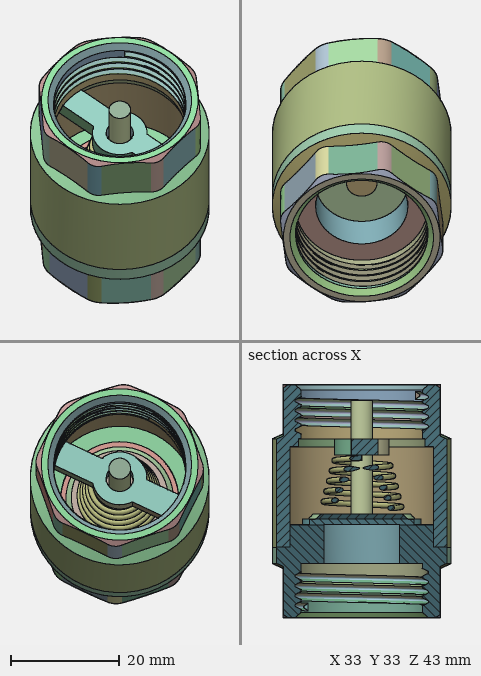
import cadquery as cq
import math


TOTAL_HEIGHT = 43.0
BARREL_DIAMETER = 33.0
PORT_LENGTH = 10.0
SPLIT_HEIGHT = 13.0
SHOULDER_ANGLE = 25.0

OCTAGON_SIDES = 8
OCTAGON_ACROSS_FLATS = 29.02
OCTAGON_CORNER_RADIUS = 3.5
END_FACE_DIAMETER = 28.85
END_CHAMFER_ANGLE = 35.0

PORT_BORE = 24.4
THREAD_ROOT_DIAMETER = 26.45
THREAD_PITCH = 1.8
THREAD_FLANK_ANGLE = 27.5
THREAD_ROUNDING = 0.25
THREAD_CREST_TRIM = 0.05
THREAD_START = 34.5
THREAD_START_ANGLE = -90.0
THREAD_TURNS = 3.6
RELIEF_DIAMETER = 25.2
RELIEF_LENGTH = 1.45

CAVITY_DIAMETER = 28.15
SEAT_HEIGHT = 17.2
SEAT_BORE = 17.0

BRIDGE_WIDTH = 5.0
BRIDGE_OFFSET = 0.5
BRIDGE_THICKNESS = 3.0
HUB_DIAMETER = 10.05
GUIDE_BORE = 5.0

STEM_DIAMETER = 4.0
STEM_TOP = 40.05
POPPET_DIAMETER = 19.82
POPPET_THICKNESS = 1.0
POPPET_BOSS_DIAMETER = 5.6
SEAL_DIAMETER = 21.75
SEAL_THICKNESS = 1.0

WIRE_DIAMETER = 1.0
SPRING_TURNS = 5
SPRING_BASE_RADIUS = 7.5
SPRING_RADIUS_STEP = 0.5

PORT_TOP = TOTAL_HEIGHT - PORT_LENGTH
BRIDGE_BOTTOM = PORT_TOP - BRIDGE_THICKNESS
POPPET_BOTTOM = SEAT_HEIGHT + SEAL_THICKNESS
POPPET_TOP = POPPET_BOTTOM + POPPET_THICKNESS


def cylinder(diameter, bottom, top):
    """Upright cylinder on the valve axis between two heights."""
    return cq.Workplane("XY").workplane(offset=bottom).circle(diameter / 2).extrude(top - bottom)


def flip_ends(shape):
    """Turn a shape end for end about the middle of the valve."""
    middle = TOTAL_HEIGHT / 2
    return shape.rotate((0, 0, middle), (1, 0, middle), 180)


def octagonal_end():
    """Upper wrench end: a rounded octagon whose corners are bevelled at the end face."""
    half_step = 180 / OCTAGON_SIDES
    corner_diameter = OCTAGON_ACROSS_FLATS / math.cos(math.radians(half_step))
    prism = (
        cq.Workplane("XY")
        .workplane(offset=PORT_TOP)
        .polygon(OCTAGON_SIDES, corner_diameter)
        .extrude(PORT_LENGTH)
        .rotate((0, 0, 0), (0, 0, 1), half_step)
        .edges("|Z")
        .fillet(OCTAGON_CORNER_RADIUS)
    )
    face_radius = END_FACE_DIAMETER / 2
    outer_radius = BARREL_DIAMETER / 2
    bevel_drop = (outer_radius - face_radius) * math.tan(math.radians(END_CHAMFER_ANGLE))
    envelope = (
        cq.Workplane("XZ")
        .moveTo(0, PORT_TOP)
        .lineTo(outer_radius, PORT_TOP)
        .lineTo(outer_radius, TOTAL_HEIGHT - bevel_drop)
        .lineTo(face_radius, TOTAL_HEIGHT)
        .lineTo(0, TOTAL_HEIGHT)
        .close()
        .revolve()
    )
    return prism.intersect(envelope)


def shoulder():
    """Shallow cone from the barrel edge up to the octagonal end."""
    outer_radius = BARREL_DIAMETER / 2
    inner_radius = CAVITY_DIAMETER / 2
    rise = (outer_radius - inner_radius) * math.tan(math.radians(SHOULDER_ANGLE))
    return (
        cq.Workplane("XZ")
        .moveTo(0, PORT_TOP)
        .lineTo(outer_radius, PORT_TOP)
        .lineTo(inner_radius, PORT_TOP + rise)
        .lineTo(0, PORT_TOP + rise)
        .close()
        .revolve()
    )


def thread_groove():
    """Helical groove of the upper port, with rounded crests and root."""
    crest_radius = PORT_BORE / 2 - THREAD_CREST_TRIM
    root_radius = THREAD_ROOT_DIAMETER / 2
    flank = math.radians(THREAD_FLANK_ANGLE)
    radial_share = THREAD_ROUNDING * (1 - math.sin(flank))
    axial_share = THREAD_ROUNDING * math.cos(flank)
    mid_angle = (math.pi / 2 - flank) / 2
    mid_radial = THREAD_ROUNDING * (1 - math.cos(mid_angle))
    mid_axial = THREAD_ROUNDING * math.sin(mid_angle)
    root_half = axial_share
    flank_radial = root_radius - crest_radius - 2 * radial_share
    crest_half = root_half + flank_radial * math.tan(flank)
    mouth_half = crest_half + axial_share
    helix = cq.Wire.makeHelix(THREAD_PITCH, THREAD_TURNS * THREAD_PITCH, crest_radius)
    groove = (
        cq.Workplane("XZ")
        .moveTo(crest_radius, -mouth_half)
        .threePointArc(
            (crest_radius + mid_radial, mid_axial - mouth_half),
            (crest_radius + radial_share, -crest_half),
        )
        .lineTo(root_radius - radial_share, -root_half)
        .threePointArc((root_radius, 0), (root_radius - radial_share, root_half))
        .lineTo(crest_radius + radial_share, crest_half)
        .threePointArc(
            (crest_radius + mid_radial, mouth_half - mid_axial),
            (crest_radius, mouth_half),
        )
        .close()
        .sweep(cq.Workplane(helix), isFrenet=True)
    )
    return groove.rotate((0, 0, 0), (0, 0, 1), THREAD_START_ANGLE).translate((0, 0, THREAD_START))


def lead_in():
    """45 degree countersink at the mouth of the upper port."""
    bore_radius = PORT_BORE / 2
    mouth_radius = THREAD_ROOT_DIAMETER / 2
    depth = mouth_radius - bore_radius
    base = cq.Vector(0, 0, TOTAL_HEIGHT - depth)
    return cq.Workplane(cq.Solid.makeCone(bore_radius, mouth_radius, depth, pnt=base))


def threaded_port():
    """Space inside the upper port: bore, thread groove and countersink."""
    bore = cylinder(PORT_BORE, PORT_TOP, TOTAL_HEIGHT)
    return bore.union(thread_groove()).union(lead_in())


def make_bridge():
    """Bar and hub that carry the poppet stem, with the guide bore left out."""
    bar = (
        cq.Workplane("XY")
        .workplane(offset=BRIDGE_BOTTOM)
        .center(0, BRIDGE_OFFSET)
        .rect(CAVITY_DIAMETER, BRIDGE_WIDTH)
        .extrude(BRIDGE_THICKNESS)
        .intersect(cylinder(CAVITY_DIAMETER, BRIDGE_BOTTOM, PORT_TOP))
    )
    return bar.union(cylinder(HUB_DIAMETER, BRIDGE_BOTTOM, PORT_TOP))


def make_housing():
    """Barrel with the upper port and the bridge that guides the poppet."""
    relief_bottom = PORT_TOP - RELIEF_LENGTH
    return (
        cylinder(BARREL_DIAMETER, SPLIT_HEIGHT, PORT_TOP)
        .union(shoulder())
        .union(octagonal_end())
        .cut(threaded_port())
        .cut(cylinder(RELIEF_DIAMETER, relief_bottom, PORT_TOP))
        .cut(cylinder(CAVITY_DIAMETER, SPLIT_HEIGHT, relief_bottom))
        .union(make_bridge())
        .cut(cylinder(GUIDE_BORE, BRIDGE_BOTTOM, PORT_TOP))
    )


def make_cap():
    """Lower port with a spigot that fills the housing cavity up to the seat."""
    return (
        cylinder(BARREL_DIAMETER, PORT_LENGTH, SPLIT_HEIGHT)
        .union(cylinder(CAVITY_DIAMETER, SPLIT_HEIGHT, SEAT_HEIGHT))
        .union(flip_ends(shoulder()))
        .union(flip_ends(octagonal_end()))
        .cut(flip_ends(threaded_port()))
        .cut(cylinder(SEAT_BORE, 0, SEAT_HEIGHT))
    )


def make_poppet():
    """Conical disc with the guide stem above it and a boss through the seal below it."""
    base_radius = POPPET_DIAMETER / 2
    top_radius = base_radius - POPPET_THICKNESS
    base = cq.Vector(0, 0, POPPET_BOTTOM)
    disc = cq.Workplane(cq.Solid.makeCone(base_radius, top_radius, POPPET_THICKNESS, pnt=base))
    boss = cylinder(POPPET_BOSS_DIAMETER, SEAT_HEIGHT, POPPET_BOTTOM)
    stem = cylinder(STEM_DIAMETER, POPPET_BOTTOM, STEM_TOP)
    return disc.union(boss).union(stem)


def make_seal():
    """Flat ring clamped between the poppet and the seat."""
    seal = cylinder(SEAL_DIAMETER, SEAT_HEIGHT, POPPET_BOTTOM)
    return seal.cut(cylinder(POPPET_BOSS_DIAMETER, SEAT_HEIGHT, POPPET_BOTTOM))


def make_spring():
    """Conical spring that narrows upwards from the poppet to the hub."""
    rise = BRIDGE_BOTTOM - POPPET_TOP - WIRE_DIAMETER
    narrowing = SPRING_TURNS * SPRING_RADIUS_STEP
    top_radius = SPRING_BASE_RADIUS - narrowing
    cone_angle = math.degrees(math.atan(narrowing / rise))
    helix = cq.Wire.makeHelix(rise / SPRING_TURNS, rise, top_radius, angle=cone_angle)
    coil = (
        cq.Workplane("XZ")
        .center(top_radius, 0)
        .circle(WIRE_DIAMETER / 2)
        .sweep(cq.Workplane(helix), isFrenet=True)
    )
    upside_down = coil.rotate((0, 0, 0), (1, 0, 0), 180)
    return upside_down.translate((0, 0, BRIDGE_BOTTOM - WIRE_DIAMETER / 2))


housing = make_housing()
cap = make_cap()
poppet = make_poppet()
seal = make_seal()
spring = make_spring()

result = cq.Compound.makeCompound(
    [housing.val(), cap.val(), poppet.val(), seal.val(), spring.val()]
)